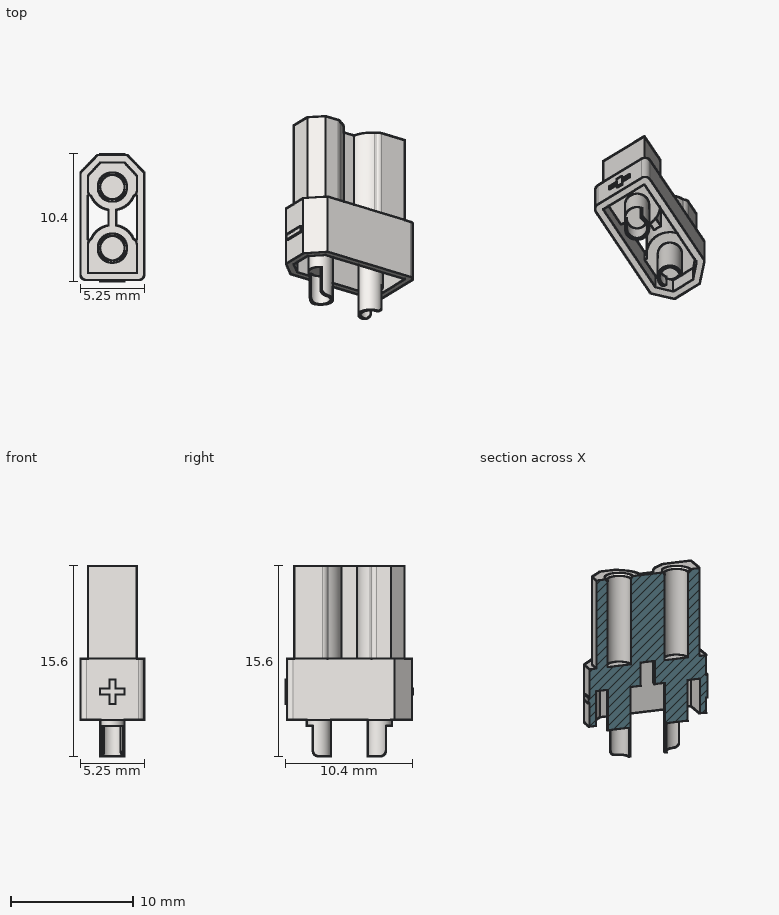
import cadquery as cq
import math

base_width = 5.25
base_length = 10.25
base_height = 5.0
base_chamfer_x = 1.40
base_chamfer_y = 1.45
base_corner_radius = 0.5
cavity_height = 3.0

tower_width = 4.0
tower_length = 9.05
tower_height = 7.6
tower_chamfer_x = 1.03
tower_chamfer_y = 1.10
web_thickness = 0.65

contact_spacing = 5.0
socket_wall_radius = 1.9
socket_radius = 1.0
socket_depth = tower_height
socket_lead_in = 0.2

shoulder_radius = 0.5
shoulder_start = 2.2
shoulder_end = 1.79
blend_end = 1.69
blend_radius = 0.25

cup_radius = 1.0
cup_bore_radius = 0.835
cup_length = 3.0
cup_collar = 0.5
cup_face_offset = 0.5
cup_end_radius = 0.5

sign_size = 2.0
sign_stroke = 0.5
sign_relief = 0.1
sign_height = 2.3

contact_y = contact_spacing / 2
base_half_width = base_width / 2
base_half_length = base_length / 2
tower_half_width = tower_width / 2
tower_half_length = tower_length / 2
top_z = base_height + tower_height


def socket_wall_x(y):
    """Half width of the round socket wall at a given y."""
    return math.sqrt(socket_wall_radius**2 - (y - contact_y) ** 2)


def socket_wall_y(x):
    """Inner y of the round socket wall at a given x."""
    return contact_y - math.sqrt(socket_wall_radius**2 - x**2)


def shoulder_x(y):
    """Half width of the shoulder arc, which starts tangent to the flat tower side."""
    reach = math.sqrt(shoulder_radius**2 - (shoulder_start - y) ** 2)
    return tower_half_width - shoulder_radius + reach


blend_end_x = socket_wall_x(blend_end)
shoulder_end_x = shoulder_x(shoulder_end)


def chamfered_prism(half_width, half_length, chamfer_x, chamfer_y, bottom, height):
    """Upright prism with a rectangular outline whose two +Y corners are chamfered."""
    outline = [
        (-half_width, -half_length),
        (half_width, -half_length),
        (half_width, half_length - chamfer_y),
        (half_width - chamfer_x, half_length),
        (-half_width + chamfer_x, half_length),
        (-half_width, half_length - chamfer_y),
    ]
    return cq.Workplane("XY").workplane(offset=bottom).polyline(outline).close().extrude(height)


def make_base():
    """Base block with its two -Y corners rounded."""
    block = chamfered_prism(
        base_half_width, base_half_length, base_chamfer_x, base_chamfer_y, 0, base_height
    )
    return block.faces("<Y").edges("|Z").fillet(base_corner_radius)


def tower_prism(bottom, height):
    """Prism with the unrecessed outline of the tower."""
    return chamfered_prism(
        tower_half_width, tower_half_length, tower_chamfer_x, tower_chamfer_y, bottom, height
    )


def make_right_recess():
    """Recess of the tower at +X, between the two socket walls and the web."""
    web_x = web_thickness / 2
    web_end = socket_wall_y(web_x)
    wall_middle_x = (web_x + blend_end_x) / 2
    wall_middle_y = socket_wall_y(wall_middle_x)
    shoulder_middle_y = (shoulder_start + shoulder_end) / 2
    shoulder_middle_x = shoulder_x(shoulder_middle_y)
    return (
        cq.Workplane("XY").workplane(offset=base_height)
        .moveTo(web_x, web_end)
        .threePointArc((wall_middle_x, wall_middle_y), (blend_end_x, blend_end))
        .radiusArc((shoulder_end_x, shoulder_end), blend_radius)
        .threePointArc((shoulder_middle_x, shoulder_middle_y), (tower_half_width, shoulder_start))
        .lineTo(tower_half_width, -shoulder_start)
        .threePointArc((shoulder_middle_x, -shoulder_middle_y), (shoulder_end_x, -shoulder_end))
        .radiusArc((blend_end_x, -blend_end), blend_radius)
        .threePointArc((wall_middle_x, -wall_middle_y), (web_x, -web_end))
        .close()
        .extrude(tower_height)
    )


def make_base_opening():
    """Opening through the base, between the socket walls and under the web."""
    wall_tip = socket_wall_y(0)
    return (
        cq.Workplane("XY")
        .moveTo(-blend_end_x, blend_end)
        .threePointArc((0, wall_tip), (blend_end_x, blend_end))
        .radiusArc((shoulder_end_x, shoulder_end), blend_radius)
        .lineTo(tower_half_width, shoulder_end)
        .lineTo(tower_half_width, -shoulder_end)
        .lineTo(shoulder_end_x, -shoulder_end)
        .radiusArc((blend_end_x, -blend_end), blend_radius)
        .threePointArc((0, -wall_tip), (-blend_end_x, -blend_end))
        .radiusArc((-shoulder_end_x, -shoulder_end), blend_radius)
        .lineTo(-tower_half_width, -shoulder_end)
        .lineTo(-tower_half_width, shoulder_end)
        .lineTo(-shoulder_end_x, shoulder_end)
        .radiusArc((-blend_end_x, blend_end), blend_radius)
        .close()
        .extrude(base_height)
    )


def make_socket(y):
    """Blind socket bore with a conical lead-in."""
    profile = [
        (0, top_z - socket_depth),
        (socket_radius, top_z - socket_depth),
        (socket_radius, top_z - socket_lead_in),
        (socket_radius + socket_lead_in, top_z),
        (0, top_z),
    ]
    bore = cq.Workplane("XZ").polyline(profile).close().revolve(360, (0, 0), (0, 1))
    return bore.translate((0, y, 0))


def make_upper_cup():
    """Solder cup at +Y, hanging from the cavity ceiling and open towards +Y below a round collar."""
    pin = (
        cq.Workplane("XY").workplane(offset=-cup_length)
        .circle(cup_radius).extrude(cup_length + cavity_height)
    )
    open_length = cup_length - cup_collar
    bore = (
        cq.Workplane("XY").workplane(offset=-cup_length)
        .circle(cup_bore_radius).extrude(open_length)
    )
    open_side = (
        cq.Workplane("YZ")
        .moveTo(cup_face_offset, -cup_collar)
        .lineTo(cup_face_offset, -cup_length + cup_end_radius)
        .radiusArc((cup_face_offset - cup_end_radius, -cup_length), cup_end_radius)
        .lineTo(cup_radius, -cup_length)
        .lineTo(cup_radius, -cup_collar)
        .close()
        .extrude(cup_radius, both=True)
    )
    return pin.cut(bore).cut(open_side).translate((0, contact_y, 0))


def make_bar(width, height, y):
    """One stroke of a sign, half sunk into the end face at y."""
    bar = cq.Workplane("XY").box(width, 2 * sign_relief, height)
    return bar.translate((0, y, sign_height))


housing = make_base().cut(make_base_opening())
housing = housing.cut(tower_prism(0, cavity_height))
right_recess = make_right_recess()
tower = tower_prism(base_height, tower_height)
tower = tower.cut(right_recess).cut(right_recess.mirror("YZ"))
housing = housing.union(tower)
for side in (-1, 1):
    housing = housing.cut(make_socket(side * contact_y))

cup = make_upper_cup()
housing = housing.union(cup).union(cup.mirror("XZ"))

housing = housing.union(make_bar(sign_size, sign_stroke, base_half_length))
housing = housing.union(make_bar(sign_size, sign_stroke, -base_half_length))
result = housing.union(make_bar(sign_stroke, sign_size, -base_half_length))